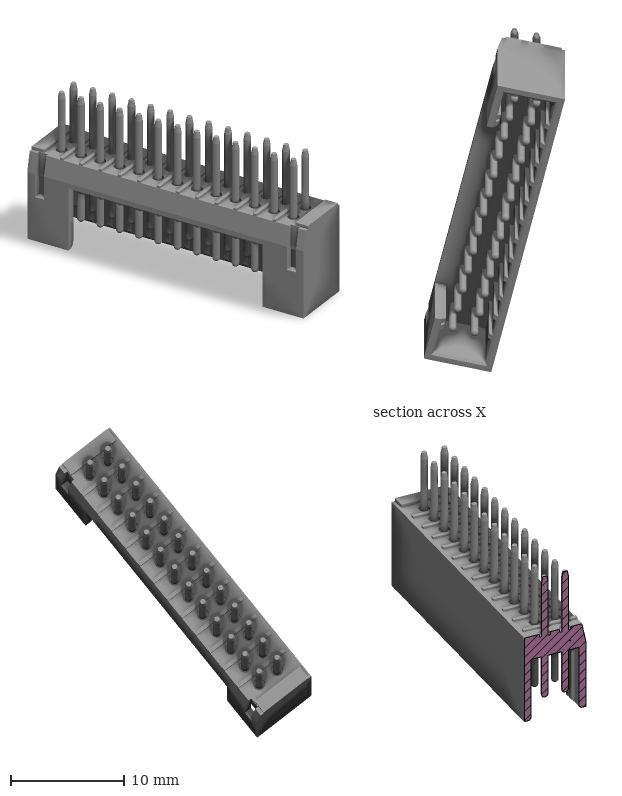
import cadquery as cq
import math

LENGTH = 28.6
DEPTH = 6.1
DECK_Z = 8.6
FRONT_Y = -DEPTH / 2
BACK_Y = DEPTH / 2
BEVEL_DEPTH = 0.4
BEVEL_HEIGHT = 1.9

CEILING_Z = 6.2
WALL = 0.7
END_WALL = 0.7
MOUTH_CHAMFER = 0.2
CAVITY_LENGTH = LENGTH - 2 * END_WALL
CAVITY_DEPTH = DEPTH - 2 * WALL

GUIDE_RIB_WIDTH = 0.48
GUIDE_RIB_HEIGHT = 0.33

WINDOW_LENGTH = 20.1
JAMB_WIDTH = 0.5
JAMB_BEVEL_DEPTH = 0.3
JAMB_BEVEL_WIDTH = 0.1
SLOT_WIDTH = 0.95
SLOT_END_OFFSET = 0.78
SLOT_FLOOR_Z = 4.4

PAD_LENGTH = 1.3
PAD_HEIGHT = 0.3
PAD_FRONT_SETBACK = 0.75
PAD_BACK_SETBACK = 0.3
DECK_RIB_WIDTH = 0.36
DECK_RIB_HEIGHT = 0.2
DECK_RIB_BACK_SETBACK = 0.4

PITCH = 2.0
COLUMNS = 13
ROWS = 2
PIN_DIAMETER = 0.68
PIN_BOTTOM_Z = 2.0
PIN_TOP_Z = 14.4
PIN_SHOULDER_Z = 13.8
PIN_TIP_DIAMETER = 0.46
RECESS_DIAMETER = 1.05
RECESS_DEPTH = 0.3

column_xs = [(i - (COLUMNS - 1) / 2) * PITCH for i in range(COLUMNS)]
row_ys = [(j - (ROWS - 1) / 2) * PITCH for j in range(ROWS)]
rib_xs = [x + PITCH / 2 for x in column_xs[:-1]]
pin_positions = [(x, y) for x in column_xs for y in row_ys]


def block(x_range, y_range, z_range):
    """Axis-aligned box spanning the given (low, high) ranges."""
    (x0, x1), (y0, y1), (z0, z1) = x_range, y_range, z_range
    return cq.Workplane("XY").box(x1 - x0, y1 - y0, z1 - z0, centered=False).translate((x0, y0, z0))


def make_shell():
    """Bevelled housing block with the bottom cavity hollowed out."""
    profile = [
        (FRONT_Y, 0),
        (BACK_Y, 0),
        (BACK_Y, DECK_Z),
        (FRONT_Y + BEVEL_DEPTH, DECK_Z),
        (FRONT_Y, DECK_Z - BEVEL_HEIGHT),
    ]
    shell = cq.Workplane("YZ").polyline(profile).close().extrude(LENGTH / 2, both=True)
    cavity = cq.Workplane("XY").rect(CAVITY_LENGTH, CAVITY_DEPTH).extrude(CEILING_Z)
    return shell.cut(cavity)


def add_guide_ribs(body):
    """Vertical ribs midway between pin columns on the front and back cavity walls."""
    half_width = GUIDE_RIB_WIDTH / 2
    inner_y = CAVITY_DEPTH / 2
    for x in rib_xs:
        x_range = (x - half_width, x + half_width)
        for y_range in ((-inner_y, GUIDE_RIB_HEIGHT - inner_y), (inner_y - GUIDE_RIB_HEIGHT, inner_y)):
            body = body.union(block(x_range, y_range, (0, CEILING_Z)))
    return body


def add_window_jambs(body):
    """Thickened strips inside the front wall at the window edges, bevelled on the window side."""
    edge_x = WINDOW_LENGTH / 2
    wall_y = FRONT_Y + WALL
    inner_y = wall_y + GUIDE_RIB_HEIGHT
    section = [
        (edge_x, wall_y),
        (edge_x, inner_y - JAMB_BEVEL_DEPTH),
        (edge_x + JAMB_BEVEL_WIDTH, inner_y),
        (edge_x + JAMB_WIDTH, inner_y),
        (edge_x + JAMB_WIDTH, wall_y),
    ]
    jamb = cq.Workplane("XY").polyline(section).close().extrude(CEILING_Z)
    return body.union(jamb).union(jamb.mirror("YZ"))


def cut_mouth_chamfer(body):
    """45 degree lead-in around the cavity mouth, running through walls and ribs."""
    reach = MOUTH_CHAMFER + GUIDE_RIB_HEIGHT
    lead_in = (
        cq.Workplane("XY")
        .rect(CAVITY_LENGTH + 2 * MOUTH_CHAMFER, CAVITY_DEPTH + 2 * MOUTH_CHAMFER)
        .extrude(reach, taper=45)
    )
    return body.cut(lead_in)


def cut_front_openings(body):
    """Window through the front wall and a keying slot near each end."""
    wall_y = (FRONT_Y, FRONT_Y + WALL)
    window_y = (FRONT_Y, FRONT_Y + WALL + GUIDE_RIB_HEIGHT)
    body = body.cut(block((-WINDOW_LENGTH / 2, WINDOW_LENGTH / 2), window_y, (0, CEILING_Z)))
    outer_x = LENGTH / 2 - SLOT_END_OFFSET
    inner_x = outer_x - SLOT_WIDTH
    for x_range in ((-outer_x, -inner_x), (inner_x, outer_x)):
        body = body.cut(block(x_range, wall_y, (SLOT_FLOOR_Z, DECK_Z)))
    return body


def add_deck_details(body):
    """End pads and the thin ribs that separate the pin columns on the deck."""
    end_x = LENGTH / 2
    pad_y = (FRONT_Y + PAD_FRONT_SETBACK, BACK_Y - PAD_BACK_SETBACK)
    for x_range in ((-end_x, PAD_LENGTH - end_x), (end_x - PAD_LENGTH, end_x)):
        body = body.union(block(x_range, pad_y, (DECK_Z, DECK_Z + PAD_HEIGHT)))
    half_width = DECK_RIB_WIDTH / 2
    rib_y = (FRONT_Y + BEVEL_DEPTH, BACK_Y - DECK_RIB_BACK_SETBACK)
    for x in rib_xs:
        body = body.union(block((x - half_width, x + half_width), rib_y, (DECK_Z, DECK_Z + DECK_RIB_HEIGHT)))
    return body


def cut_pin_recesses(body):
    """Shallow round recess in the deck around every pin."""
    recesses = (
        cq.Workplane("XY", origin=(0, 0, DECK_Z - RECESS_DEPTH))
        .pushPoints(pin_positions)
        .circle(RECESS_DIAMETER / 2)
        .extrude(RECESS_DEPTH)
    )
    return body.cut(recesses)


def make_pin():
    """Round pin on the Z axis: hemispherical lower end, tapered upper tip."""
    radius = PIN_DIAMETER / 2
    dome_center_z = PIN_BOTTOM_Z + radius
    dome_mid = (radius * math.sin(math.pi / 4), dome_center_z - radius * math.cos(math.pi / 4))
    half_profile = (
        cq.Workplane("XZ")
        .moveTo(0, PIN_BOTTOM_Z)
        .threePointArc(dome_mid, (radius, dome_center_z))
        .lineTo(radius, PIN_SHOULDER_Z)
        .lineTo(PIN_TIP_DIAMETER / 2, PIN_TOP_Z)
        .lineTo(0, PIN_TOP_Z)
        .close()
    )
    return half_profile.revolve(360, (0, 0), (0, 1))


def add_pins(body):
    pin = make_pin()
    for x, y in pin_positions:
        body = body.union(pin.translate((x, y, 0)))
    return body


housing = make_shell()
housing = add_guide_ribs(housing)
housing = add_window_jambs(housing)
housing = cut_mouth_chamfer(housing)
housing = cut_front_openings(housing)
housing = add_deck_details(housing)
housing = cut_pin_recesses(housing)
result = add_pins(housing)